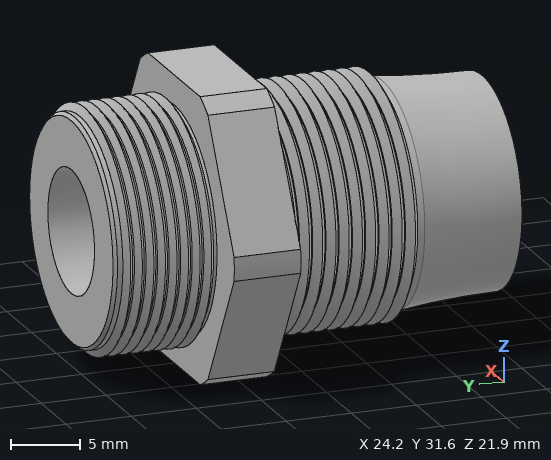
import cadquery as cq
import math

total_length = 31.57
bore_diameter = 9.38

hex_across_flats = 21.85
hex_corner_diameter = 24.25
hex_thickness = 5.1
rear_length = 7.9
hex_rear = total_length - rear_length
hex_front = hex_rear - hex_thickness

spigot_end_radius = 8.02
spigot_length = 7.67

front_core_radius = 8.52
front_crest_radius = 9.3
front_ring_count = 10
front_crest_span = 9.15
front_pitch = front_crest_span / (front_ring_count - 1)
front_ring_half_width = 0.47
front_runout = 0.73
front_first_crest = hex_front - front_runout

rear_core_radius = 8.65
rear_crest_radius = 9.25
rear_ring_count = 8
rear_crest_span = 6.22
rear_pitch = rear_crest_span / (rear_ring_count - 1)
rear_ring_half_width = 0.38
rear_runout = 0.63
rear_first_crest = hex_rear + rear_runout
rear_chamfer = 0.25


def add_rings(profile, core_radius, crest_radius, half_width, crest_positions):
    """Continue a (radius, Y) profile over V-shaped rings at the given crest positions."""
    for crest in crest_positions:
        profile = (
            profile.lineTo(core_radius, crest - half_width)
            .lineTo(crest_radius, crest)
            .lineTo(core_radius, crest + half_width)
        )
    return profile


def make_body():
    """Spigot, both threaded cores and their rings, revolved as one profile about Y."""
    front_crests = [front_first_crest - i * front_pitch for i in reversed(range(front_ring_count))]
    rear_crests = [rear_first_crest + i * rear_pitch for i in range(rear_ring_count)]

    flare_rise = front_core_radius - spigot_end_radius
    flare_radius = (spigot_length**2 + flare_rise**2) / (2 * flare_rise)
    flare_mid_y = spigot_length / 2
    flare_mid_radius = spigot_end_radius + flare_radius - math.sqrt(flare_radius**2 - flare_mid_y**2)

    profile = (
        cq.Workplane("XY")
        .lineTo(spigot_end_radius, 0)
        .threePointArc((flare_mid_radius, flare_mid_y), (front_core_radius, spigot_length))
    )
    profile = add_rings(
        profile, front_core_radius, front_crest_radius, front_ring_half_width, front_crests
    )
    profile = profile.lineTo(front_core_radius, hex_rear).lineTo(rear_core_radius, hex_rear)
    profile = add_rings(profile, rear_core_radius, rear_crest_radius, rear_ring_half_width, rear_crests)
    profile = (
        profile.lineTo(rear_core_radius, total_length - rear_chamfer)
        .lineTo(rear_core_radius - rear_chamfer, total_length)
        .lineTo(0, total_length)
        .close()
    )
    return profile.revolve(360, (0, 0, 0), (0, 1, 0))


def make_collar():
    """Hexagon with flats facing up and down, its corners rounded by a concentric cylinder."""
    collar_plane = cq.Workplane("XZ", origin=(0, hex_rear, 0))
    across_corners = hex_across_flats / math.cos(math.radians(30))
    hexagon = collar_plane.polygon(6, across_corners).extrude(hex_thickness)
    corner_round = collar_plane.circle(hex_corner_diameter / 2).extrude(hex_thickness)
    return hexagon.intersect(corner_round)


def make_bore():
    """Plain hole through the whole length."""
    return (
        cq.Workplane("XZ", origin=(0, total_length, 0))
        .circle(bore_diameter / 2)
        .extrude(total_length)
    )


result = make_body().union(make_collar()).cut(make_bore())